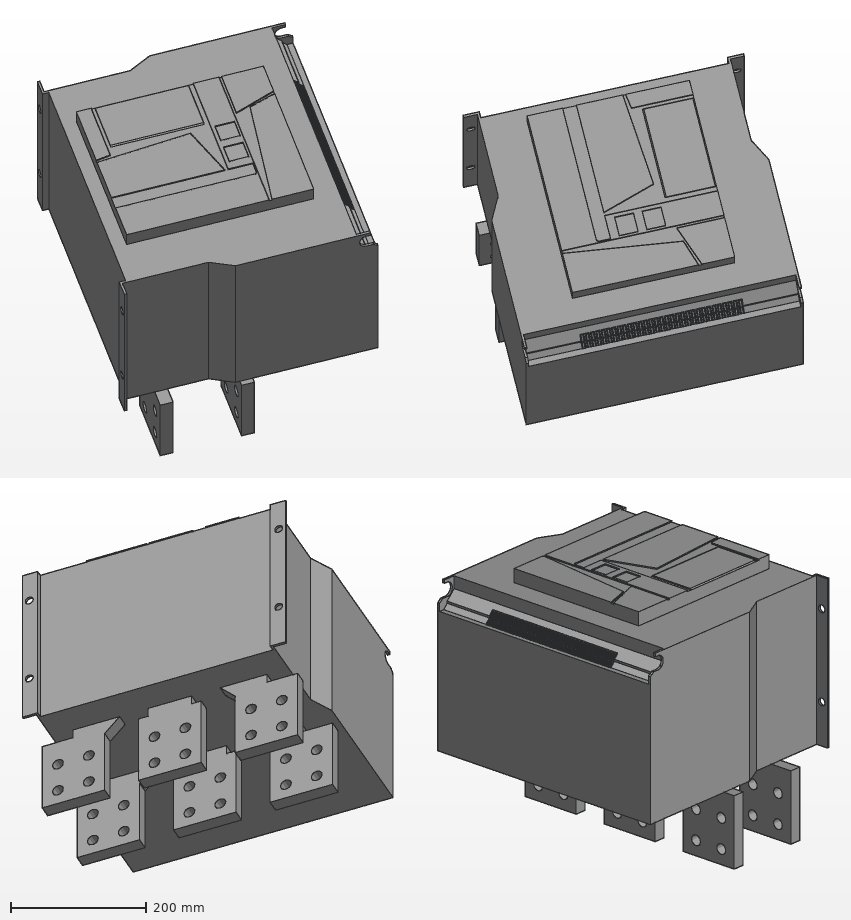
import cadquery as cq

TOTAL_HEIGHT = 427.0
TOTAL_WIDTH = 426.0
TOTAL_DEPTH = 394.0
SHEET = 4.0

HOUSING_BOTTOM = 133.0
HOUSING_TOP = 404.5
HOUSING_HEIGHT = HOUSING_TOP - HOUSING_BOTTOM
HOUSING_FRONT = 10.0
NARROW_HALF = 192.0
WIDE_HALF = 210.5
TAPER_FRONT = 137.0
TAPER_REAR = 173.5

FLANGE_HOLE_DIAMETER = 12.5
FLANGE_HOLE_X = 202.0
FLANGE_HOLE_HEIGHTS = (203.5, 353.0)

PANEL_WIDTH = 246.5
PANEL_FRONT = 32.0
PANEL_LENGTH = 290.0
TILE_HEIGHT = 2.0
PANEL_BASE_TOP = TOTAL_HEIGHT - TILE_HEIGHT

RECESS_DEPTH = 32.5
RECESS_DROP = 20.5
STEP_FROM_REAR = 17.0
STEP_RISER = 3.5
SHELF_FROM_REAR = 9.5

VENT_COUNT = 31
VENT_ROW_WIDTH = PANEL_WIDTH
VENT_MOUTH_WIDTH = 6.0
VENT_MOUTH_DEPTH = 1.92
VENT_SLOT_WIDTH = 2.78
VENT_SLOT_DEPTH = 4.0
VENT_PITCH = (VENT_ROW_WIDTH - VENT_MOUTH_WIDTH) / (VENT_COUNT - 1)
VENT_FROM_REAR = 24.8

HOOK_SETBACK = 11.5
NOTCH_RADIUS = 11.5
NOTCH_CENTRE_FROM_REAR = 17.0
NOTCH_CENTRE_DROP = 17.0
NOTCH_LEAD_IN = 7.3
NOTCH_LEAD_DROP = 5.5

BAR_THICKNESS = 20.0
BAR_FRONT_FACES = (57.5, 183.5)
BAR_WIDTH = 101.0
BAR_PITCH = 156.3
BAR_SHOULDER = 118.0
CENTRE_NECK_WIDTH = 70.5
BAR_CHAMFER = 24.5
OUTER_NECK_EDGE = 157.0
BAR_HOLE_DIAMETER = 17.0
BAR_HOLE_PITCH = 50.0
BAR_HOLE_RISE = 25.0


def side_profile(points, half_width):
    """A prism centred across X, from an outline of (distance from rear, drop below housing top) points."""
    outline = [(TOTAL_DEPTH - inward, HOUSING_TOP - drop) for inward, drop in points]
    return cq.Workplane("YZ").polyline(outline).close().extrude(half_width, both=True)


def housing_half():
    """The right half of the housing with its front flange, seen in plan."""
    return (
        cq.Workplane("XY", origin=(0, 0, HOUSING_BOTTOM))
        .moveTo(0, HOUSING_FRONT)
        .lineTo(NARROW_HALF - SHEET, HOUSING_FRONT)
        .lineTo(NARROW_HALF - SHEET, 0)
        .lineTo(TOTAL_WIDTH / 2, 0)
        .lineTo(TOTAL_WIDTH / 2, SHEET)
        .lineTo(NARROW_HALF, SHEET)
        .lineTo(NARROW_HALF, TAPER_FRONT)
        .lineTo(WIDE_HALF, TAPER_REAR)
        .lineTo(WIDE_HALF, TOTAL_DEPTH)
        .lineTo(0, TOTAL_DEPTH)
        .close()
        .extrude(HOUSING_HEIGHT)
    )


def flange_holes():
    centres = [(side * FLANGE_HOLE_X, z) for side in (-1, 1) for z in FLANGE_HOLE_HEIGHTS]
    plane = cq.Workplane("XZ", origin=(0, SHEET, 0))
    return plane.pushPoints(centres).circle(FLANGE_HOLE_DIAMETER / 2).extrude(SHEET)


def stepped_slope(from_rear, sink):
    """Lower edge of the recess: two 45 degree slopes joined by a riser, sunk by a given depth."""
    start = RECESS_DROP + RECESS_DEPTH - from_rear + sink
    upper_end = start + from_rear - STEP_FROM_REAR
    lower_start = upper_end + STEP_RISER
    lower_end = lower_start + STEP_FROM_REAR - SHELF_FROM_REAR
    return [
        (from_rear, start),
        (STEP_FROM_REAR, upper_end),
        (STEP_FROM_REAR, lower_start),
        (SHELF_FROM_REAR, lower_end),
    ]


def rear_recess():
    slope = stepped_slope(RECESS_DEPTH, 0)
    shelf_drop = slope[-1][1]
    outline = [(0, 0), (RECESS_DEPTH, 0)] + slope + [(0, shelf_drop)]
    return side_profile(outline, WIDE_HALF - SHEET)


def vent_groove(width, depth):
    """A groove of constant depth that follows the stepped slope."""
    slope = stepped_slope(VENT_FROM_REAR, depth)
    outline = [(SHELF_FROM_REAR, 0), (VENT_FROM_REAR, 0)] + slope
    return side_profile(outline, width / 2)


def vent_slots():
    """A row of slots, each with a wider, shallower mouth."""
    mouth = vent_groove(VENT_MOUTH_WIDTH, VENT_MOUTH_DEPTH)
    vent = mouth.union(vent_groove(VENT_SLOT_WIDTH, VENT_SLOT_DEPTH)).val()
    first = -VENT_PITCH * (VENT_COUNT - 1) / 2
    vents = [vent.translate(cq.Vector(first + i * VENT_PITCH, 0, 0)) for i in range(VENT_COUNT)]
    return cq.Workplane(obj=cq.Compound.makeCompound(vents))


def hook_notch():
    """Round-ended notch that leaves a hook above it and a sloped lead-in below it."""
    centre_y = TOTAL_DEPTH - NOTCH_CENTRE_FROM_REAR
    centre_z = HOUSING_TOP - NOTCH_CENTRE_DROP
    hook_y = TOTAL_DEPTH - HOOK_SETBACK
    floor_z = centre_z - NOTCH_RADIUS
    return (
        cq.Workplane("YZ")
        .moveTo(TOTAL_DEPTH, HOUSING_TOP)
        .lineTo(hook_y, HOUSING_TOP)
        .lineTo(hook_y, centre_z + NOTCH_RADIUS)
        .lineTo(centre_y, centre_z + NOTCH_RADIUS)
        .threePointArc((centre_y - NOTCH_RADIUS, centre_z), (centre_y, floor_z))
        .lineTo(TOTAL_DEPTH - NOTCH_LEAD_IN, floor_z)
        .lineTo(TOTAL_DEPTH, floor_z - NOTCH_LEAD_DROP)
        .close()
        .extrude(WIDE_HALF, both=True)
    )


def housing():
    half = housing_half()
    whole = half.union(half.mirror("YZ"))
    return whole.cut(flange_holes()).cut(rear_recess()).cut(vent_slots()).cut(hook_notch())


def bar_plate(outline, centre_x):
    """A bar starting at y = 0, with its square pattern of four holes."""
    plate = cq.Workplane("XZ").polyline(outline).close().extrude(-BAR_THICKNESS)
    holes = (
        cq.Workplane("XZ", origin=(centre_x, 0, BAR_HOLE_RISE + BAR_HOLE_PITCH / 2))
        .rarray(BAR_HOLE_PITCH, BAR_HOLE_PITCH, 2, 2)
        .circle(BAR_HOLE_DIAMETER / 2)
        .extrude(-BAR_THICKNESS)
    )
    return plate.cut(holes)


def centre_bar():
    half = BAR_WIDTH / 2
    neck = CENTRE_NECK_WIDTH / 2
    outline = [
        (-half, 0),
        (half, 0),
        (half, BAR_SHOULDER),
        (neck, BAR_SHOULDER),
        (neck, HOUSING_BOTTOM),
        (-neck, HOUSING_BOTTOM),
        (-neck, BAR_SHOULDER),
        (-half, BAR_SHOULDER),
    ]
    return bar_plate(outline, 0)


def right_bar():
    """Shouldered on its outer half; the inner edge leans toward the centre."""
    inner = BAR_PITCH - BAR_WIDTH / 2
    outer = BAR_PITCH + BAR_WIDTH / 2
    outline = [
        (inner, 0),
        (outer, 0),
        (outer, BAR_SHOULDER),
        (OUTER_NECK_EDGE, BAR_SHOULDER),
        (OUTER_NECK_EDGE, HOUSING_BOTTOM),
        (inner - BAR_CHAMFER, HOUSING_BOTTOM),
        (inner, HOUSING_BOTTOM - BAR_CHAMFER),
    ]
    return bar_plate(outline, BAR_PITCH)


def terminal_bars():
    right = right_bar()
    row = centre_bar().union(right).union(right.mirror("YZ"))
    front, rear = [row.translate((0, y, 0)) for y in BAR_FRONT_FACES]
    return front.union(rear)


def panel_tile(outline):
    origin = (-PANEL_WIDTH / 2, PANEL_FRONT, PANEL_BASE_TOP)
    return cq.Workplane("XY", origin=origin).polyline(outline).close().extrude(TILE_HEIGHT)


REAR_LEFT_TILE = [(0, 225.0), (72.5, 225.0), (49.5, PANEL_LENGTH), (0, PANEL_LENGTH)]
REAR_RIGHT_TILE = [
    (54.5, PANEL_LENGTH),
    (68.0, 247.5),
    (PANEL_WIDTH, 225.5),
    (PANEL_WIDTH, PANEL_LENGTH),
]

STRIP_FRONT = 181.0
STRIP_REAR = 221.0
STRIP_RIGHT = 171.5
LEG_LEFT = 192.5
CHANNEL_END = 219.0
CHANNEL_BEVEL = 2.5
ANGLE_TILE = [
    (0, STRIP_FRONT),
    (STRIP_RIGHT, STRIP_FRONT),
    (STRIP_RIGHT, CHANNEL_END),
    (LEG_LEFT - CHANNEL_BEVEL, CHANNEL_END),
    (LEG_LEFT, CHANNEL_END - CHANNEL_BEVEL),
    (LEG_LEFT, 0),
    (PANEL_WIDTH, 0),
    (PANEL_WIDTH, STRIP_REAR),
    (0, STRIP_REAR),
]

BUTTON_WIDTH = 28.5
BUTTON_LEFT_EDGES = (87.5, 129.5)
BUTTON_FRONT = 187.0
BUTTON_REAR = 217.5

DISPLAY_WIDTH = 78.0
DISPLAY_BEVEL = 1.92
DISPLAY_FRONT = 28.5
DISPLAY_REAR = 173.5

CENTRE_TILE = [(101.0, 0), (STRIP_RIGHT, 0), (STRIP_RIGHT, 176.0), (89.5, 148.5)]
FRONT_LEFT_TILE = [(0, 0), (97.0, 0), (93.5, 23.0), (0, 23.0)]


def display():
    """The display, its foot flush with the left side of the panel."""
    section = [
        (0, 0),
        (DISPLAY_WIDTH, 0),
        (DISPLAY_WIDTH - DISPLAY_BEVEL, TILE_HEIGHT),
        (DISPLAY_BEVEL, TILE_HEIGHT),
    ]
    origin = (-PANEL_WIDTH / 2, PANEL_FRONT + DISPLAY_FRONT, PANEL_BASE_TOP)
    return cq.Workplane("XZ", origin=origin).polyline(section).close().extrude(DISPLAY_FRONT - DISPLAY_REAR)


def button_recess(left):
    right = left + BUTTON_WIDTH
    outline = [(left, BUTTON_FRONT), (right, BUTTON_FRONT), (right, BUTTON_REAR), (left, BUTTON_REAR)]
    return panel_tile(outline)


def control_panel():
    base_height = PANEL_BASE_TOP - HOUSING_TOP
    panel = (
        cq.Workplane("XY")
        .box(PANEL_WIDTH, PANEL_LENGTH, base_height, centered=(True, False, False))
        .translate((0, PANEL_FRONT, HOUSING_TOP))
        .union(display())
    )
    for outline in (REAR_LEFT_TILE, REAR_RIGHT_TILE, ANGLE_TILE, CENTRE_TILE, FRONT_LEFT_TILE):
        panel = panel.union(panel_tile(outline))
    for left in BUTTON_LEFT_EDGES:
        panel = panel.cut(button_recess(left))
    return panel


result = housing().union(terminal_bars()).union(control_panel())